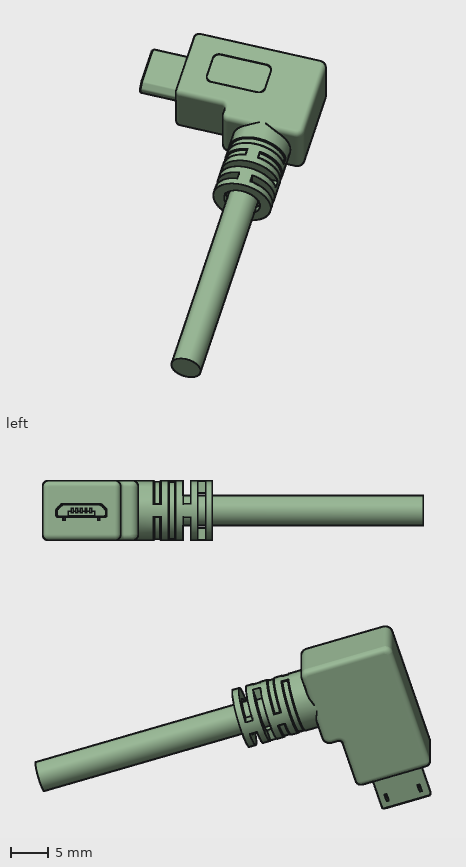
import cadquery as cq

OVERALL_LENGTH = 50.9

HOUSING_HEIGHT = 8.0
HOUSING_LEFT = -12.7
HOUSING_HALF_WIDTH = 5.65
ARM_DEPTH = 10.45
HOUSING_DEPTH = 12.8
OUTLET_CORNER_RADIUS = 1.0
ARM_CORNER_RADIUS = 0.75
INNER_CORNER_RADIUS = 0.45
RIM_RADIUS = 0.75

LABEL_LENGTH = 8.05
LABEL_WIDTH = 4.7
LABEL_CENTRE = (-5.25, -5.2)
LABEL_CORNER_RADIUS = 0.85
LABEL_DEPTH = 0.15

PLUG_LENGTH = 5.35
PLUG_WIDTH = 6.8
PLUG_HEIGHT = 1.8
PLUG_CENTRE_Y = -5.2
PLUG_TOP_CHAMFER = 0.75
PLUG_TOP_RADIUS = 0.4
PLUG_SIDE_RADIUS = 0.4
PLUG_BOTTOM_RADIUS = 0.3
PLUG_TIP_CHAMFER = 0.15
PLUG_TIP = HOUSING_LEFT - PLUG_LENGTH

POCKET_WIDTH = 3.5
POCKET_HEIGHT = 0.55
POCKET_DEPTH = 3.05
POCKET_FLOOR_WALL = 0.2
CONTACT_COUNT = 5
CONTACT_PITCH = 0.6
CONTACT_WIDTH = 0.25
CONTACT_HEIGHT = 0.65
CONTACT_DROP = 0.2
CONTACT_SETBACK = 0.15

LATCH_SPACING = 4.65
LATCH_WIDTH = 0.3
LATCH_SETBACK = 1.0
LATCH_LENGTH = 1.1
LATCH_DROP = 0.4
LATCH_NOSE = 0.2

RELIEF_RADIUS = HOUSING_HEIGHT / 2
RELIEF_END = 22.7
SLOT_START = 14.8
SLOT_PITCH = 2.0
SLOT_WIDTH = 1.0
SLOT_COUNT = 4
SHALLOW_SLOT_COUNT = 2
SLOT_FLOOR_RADIUS = 3.85
WEB_WIDTH = 1.8
SLOT_DRAFT = 0.15
BORE_RADIUS = 2.5
CABLE_RADIUS = 2.05


def rod(radius, start, end):
    """Cylinder along the cable axis, between two distances from the back wall."""
    return cq.Workplane("XZ", origin=(0, -start, 0)).circle(radius).extrude(end - start)


def make_housing():
    left, right = HOUSING_LEFT, HOUSING_HALF_WIDTH
    outline = [
        (left, 0),
        (right, 0),
        (right, -HOUSING_DEPTH),
        (-right, -HOUSING_DEPTH),
        (-right, -ARM_DEPTH),
        (left, -ARM_DEPTH),
    ]
    block = cq.Workplane("XY", origin=(0, 0, -HOUSING_HEIGHT / 2)).polyline(outline).close()
    block = block.extrude(HOUSING_HEIGHT)
    inner_corner = cq.selectors.NearestToPointSelector((-right, -ARM_DEPTH, 0))
    block = block.edges("|Z").edges(inner_corner).fillet(INNER_CORNER_RADIUS)
    for x, y in outline[:4] + outline[5:]:
        outer_corner = cq.selectors.NearestToPointSelector((x, y, 0))
        radius = ARM_CORNER_RADIUS if x == left else OUTLET_CORNER_RADIUS
        block = block.edges("|Z").edges(outer_corner).fillet(radius)
    block = block.faces("|Z").edges().fillet(RIM_RADIUS)

    label = (
        cq.Workplane("XY", origin=(*LABEL_CENTRE, HOUSING_HEIGHT / 2 - LABEL_DEPTH))
        .rect(LABEL_LENGTH, LABEL_WIDTH)
        .extrude(LABEL_DEPTH)
        .edges("|Z")
        .fillet(LABEL_CORNER_RADIUS)
    )
    return block.cut(label)


def make_plug_bar():
    half_width = PLUG_WIDTH / 2
    half_height = PLUG_HEIGHT / 2
    outline = [
        (-half_width, -half_height),
        (half_width, -half_height),
        (half_width, half_height - PLUG_TOP_CHAMFER),
        (half_width - PLUG_TOP_CHAMFER, half_height),
        (PLUG_TOP_CHAMFER - half_width, half_height),
        (-half_width, half_height - PLUG_TOP_CHAMFER),
    ]
    bar = cq.Workplane("YZ", origin=(PLUG_TIP, PLUG_CENTRE_Y, 0)).polyline(outline).close()
    bar = bar.extrude(PLUG_LENGTH + RIM_RADIUS)
    bar = bar.faces("<Z").edges("|X").fillet(PLUG_BOTTOM_RADIUS)
    bar = bar.faces("<Y or >Y").edges("|X and >Z").fillet(PLUG_SIDE_RADIUS)
    bar = bar.faces(">Z").edges("|X").fillet(PLUG_TOP_RADIUS)
    return bar.faces("<X").edges().chamfer(PLUG_TIP_CHAMFER)


def make_contacts(start, end):
    """Row of contact bars between two depths behind the plug tip."""
    ceiling = POCKET_FLOOR_WALL + POCKET_HEIGHT - PLUG_HEIGHT / 2
    row_centre = ceiling - CONTACT_DROP + CONTACT_HEIGHT / 2
    return (
        cq.Workplane("YZ", origin=(PLUG_TIP + start, PLUG_CENTRE_Y, row_centre))
        .rarray(CONTACT_PITCH, 0.5, CONTACT_COUNT, 1)
        .rect(CONTACT_WIDTH, CONTACT_HEIGHT)
        .extrude(end - start)
    )


def make_plug():
    half_height = PLUG_HEIGHT / 2
    pocket_centre = POCKET_FLOOR_WALL + POCKET_HEIGHT / 2 - half_height
    pocket = (
        cq.Workplane("YZ", origin=(PLUG_TIP, PLUG_CENTRE_Y, pocket_centre))
        .rect(POCKET_WIDTH, POCKET_HEIGHT)
        .extrude(POCKET_DEPTH)
    )
    plug = make_plug_bar().cut(pocket)

    plug = plug.cut(make_contacts(0, CONTACT_SETBACK))
    plug = plug.union(make_contacts(CONTACT_SETBACK, POCKET_DEPTH))

    front = PLUG_TIP + LATCH_SETBACK
    back = front + LATCH_LENGTH
    barb_outline = [
        (front, -half_height),
        (back - LATCH_NOSE, -half_height - LATCH_DROP),
        (back, -half_height - LATCH_DROP),
        (back, -half_height - LATCH_DROP / 2),
        (back - LATCH_NOSE, -half_height),
        (back - LATCH_NOSE, POCKET_FLOOR_WALL / 2 - half_height),
        (front, POCKET_FLOOR_WALL / 2 - half_height),
    ]
    for side in (-1, 1):
        barb_y = PLUG_CENTRE_Y + side * LATCH_SPACING / 2
        barb_plane = cq.Workplane("XZ", origin=(0, barb_y, 0))
        plug = plug.union(barb_plane.polyline(barb_outline).close().extrude(LATCH_WIDTH / 2, both=True))
    return plug


def make_webs(length, start, width, floor_width, across_x):
    """Pair of opposite webs, width wide at the relief surface and floor_width wide at the slot floor."""
    rim, floor = RELIEF_RADIUS, SLOT_FLOOR_RADIUS
    outline = [
        (0, -floor_width / 2),
        (floor, -floor_width / 2),
        (rim, -width / 2),
        (rim, width / 2),
        (floor, floor_width / 2),
        (0, floor_width / 2),
    ]
    web = cq.Workplane("XZ", origin=(0, -start, 0)).polyline(outline).close().extrude(length)
    webs = web.union(web.mirror("YZ"))
    return webs if across_x else webs.rotate((0, 0, 0), (0, 1, 0), 90)


def make_slot(index):
    """Ring slot broken by two webs, on the X sides for even slots and the Z sides for odd ones."""
    shallow = index < SHALLOW_SLOT_COUNT
    floor_radius = SLOT_FLOOR_RADIUS if shallow else BORE_RADIUS
    draft = SLOT_DRAFT if shallow else 0
    start = SLOT_START + index * SLOT_PITCH
    end = start + SLOT_WIDTH
    section = [
        (floor_radius, -start - draft),
        (RELIEF_RADIUS, -start),
        (RELIEF_RADIUS, -end),
        (floor_radius, draft - end),
    ]
    ring = cq.Workplane("XY").polyline(section).close().revolve(360, (0, 0), (0, 1))
    webs = make_webs(SLOT_WIDTH, start, WEB_WIDTH - 2 * draft, WEB_WIDTH, index % 2 == 0)
    return ring.cut(webs)


def make_strain_relief():
    relief = rod(RELIEF_RADIUS, HOUSING_DEPTH - OUTLET_CORNER_RADIUS, RELIEF_END)
    bore_start = SLOT_START + SHALLOW_SLOT_COUNT * SLOT_PITCH
    relief = relief.cut(rod(BORE_RADIUS, bore_start, RELIEF_END))
    for index in range(SLOT_COUNT):
        relief = relief.cut(make_slot(index))
    return relief


cable = rod(CABLE_RADIUS, HOUSING_DEPTH, OVERALL_LENGTH)
result = make_housing().union(make_plug()).union(make_strain_relief()).union(cable)